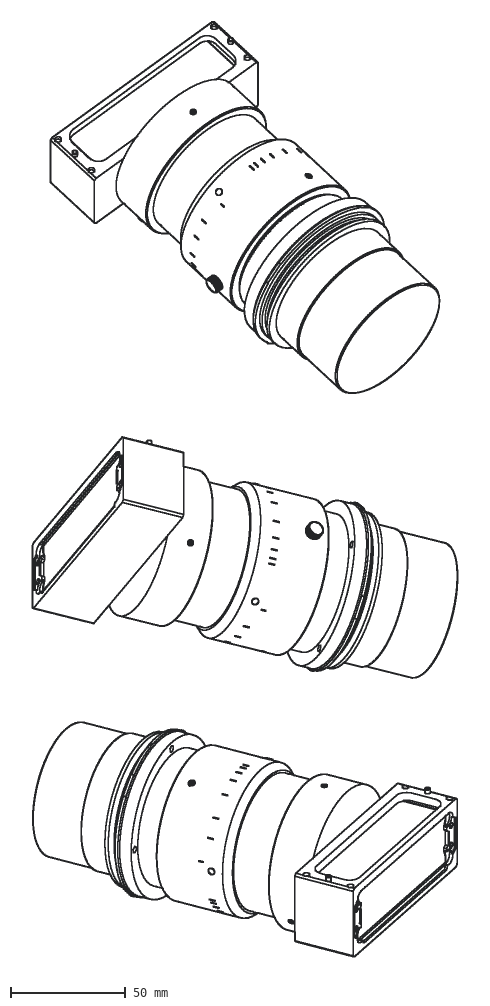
import cadquery as cq


housing_length = 28.9
housing_width = 95.0
housing_height = 34.0
housing_chamfer = 1.0

total_length = 168.1
collar_end = 49.0
focus_ring_start = 68.0
focus_cone_length = 3.4
focus_ring_end = 104.4
neck_end = 105.5
flange_start = 115.5
rim_cone_start = 121.2
rim_start = 121.9
rim_end = 123.2
groove_start = 124.7
groove_cone_start = 126
groove_cone_end = 128.0
groove_ring_end = 129.6
tail_start = 143.7

ring_radius = 70.0 / 2
barrel_radius = 62.0 / 2
tail_radius = 60.5 / 2
focus_nose_radius = 32.1
flange_radius = 37
rim_radius = 75.0 / 2
groove_radius = 33.1
edge_chamfer = 0.5
tail_step_chamfer = 0.3

lug_width = 10.5

screw_rise = 0.3
collar_screw_x = 40.0
collar_screw_diameter = 2.5
collar_socket_diameter = 1.2
collar_socket_depth = 0.8
focus_screw_x = 76.8
focus_screw_diameter = 3.0
thumbscrew_x = 96.2
lock_hole_diameter = 3.0
lock_hole_depth = 0.8
lock_socket_diameter = 1.5
lock_socket_depth = 1.7
thumbscrew_stem_diameter = 2.0
thumbscrew_head_diameter = 7.0
thumbscrew_gap = 0.7
thumbscrew_head_height = 3.5
thumbscrew_dome_height = 0.3
thumbscrew_chamfer = 0.3
knurl_count = 24
knurl_width = 0.3
flange_hole_diameter = 2.9
flange_hole_depth = 1.7
flange_hole_radius = 33.8

mark_angles = [24, 39, 57.6, 71.2, 80.1, 86.6, 90.7]
mark_start = 77.7
scale_edge = 80.4
mark_width = 0.3
mark_depth = 0.2
index_angle = 5.4
index_start = 81.2
index_length = 2.0

side_pocket_center_x = 13.5
side_pocket_length = 21.3
side_pocket_width = 83.0
side_pocket_radius = 5
side_pocket_depth = 3.9
side_panel_width = 80.0
side_panel_step = 0.3
corner_hole_diameter = 2.9
corner_hole_depth = 1.7
corner_hole_x = (2.5, 24.4)
fastener_y = 45.2
pin_diameter = 2.4
pin_height = 2.2
pin_chamfer = 0.3

window_half_width = 40.2
window_half_height = 12.3
window_depth = 2.0
lobe_radius = 3.4
lobe_depth = 1.7
lobe_z = 9.2
ledge_depth = 1.0
ledge_top = 12.8
ledge_bottom = -14.3
ledge_corner_z = -12.5
ledge_corner_half_width = 38.8
ledge_bottom_half_width = 37.7

clip_depth = 0.7
clip_outer_y = 46.0
clip_shoulder_y = 43.7
clip_straight_z = 7.7
clip_shoulder_z = 9.0
clip_tab_y = 39.0
clip_tab_z = 6.2
clip_tab_inner_z = 4.5
clip_waist_y = 40.3
clip_waist_z = 3.4
clip_hole_y = 43.2
clip_hole_z = 4.9
clip_hole_diameter = 2.5
clip_hole_depth = 0.8
clip_socket_diameter = 1.2
clip_socket_depth = 1.7

THIRD_TURN = 120
embed = 1.7


def about_axis(solid, angle):
    """Turn a solid around the X axis; +Y turns towards +Z."""
    return solid.rotate((0, 0, 0), (1, 0, 0), angle)


def radial_cylinder(x, diameter, inner, outer):
    """Cylinder along +Y that spans two distances from the optical axis."""
    return (
        cq.Workplane("XZ", origin=(x, inner, 0))
        .circle(diameter / 2)
        .extrude(-(outer - inner))
    )


def front_sketch(depth):
    """Sketch plane (local Y, Z) at a depth behind the front face, facing +X."""
    return cq.Workplane("YZ", origin=(depth, 0, 0))


def make_barrel():
    profile = [
        (housing_length, 0),
        (housing_length, ring_radius),
        (collar_end - edge_chamfer, ring_radius),
        (collar_end, ring_radius - edge_chamfer),
        (collar_end, barrel_radius),
        (focus_ring_start, barrel_radius),
        (focus_ring_start, focus_nose_radius),
        (focus_ring_start + focus_cone_length, ring_radius),
        (focus_ring_end - edge_chamfer, ring_radius),
        (focus_ring_end, ring_radius - edge_chamfer),
        (focus_ring_end, tail_radius),
        (neck_end, tail_radius),
        (neck_end, barrel_radius),
        (flange_start, barrel_radius),
        (flange_start, flange_radius),
        (rim_cone_start, flange_radius),
        (rim_start, rim_radius),
        (rim_end, rim_radius),
        (rim_end, ring_radius),
        (groove_start, ring_radius),
        (groove_start, groove_radius),
        (groove_cone_start, groove_radius),
        (groove_cone_end, ring_radius),
        (groove_ring_end, ring_radius),
        (groove_ring_end, barrel_radius),
        (tail_start - tail_step_chamfer, barrel_radius),
        (tail_start, barrel_radius - tail_step_chamfer),
        (tail_start, tail_radius),
        (total_length - edge_chamfer, tail_radius),
        (total_length, tail_radius - edge_chamfer),
        (total_length, 0),
    ]
    return cq.Workplane("XY").polyline(profile).close().revolve(360, (0, 0, 0), (1, 0, 0))


def add_rim_lugs(body):
    lug = cq.Workplane("XY").box(
        rim_end - rim_start, rim_radius, lug_width, centered=(False, False, True)
    ).translate((rim_start, 0, 0))
    for angle in (45, 135, 225, 315):
        body = body.union(about_axis(lug, angle))
    return body


def cut_flange_holes(body):
    hole = (
        cq.Workplane("YZ", origin=(flange_start, 0, 0))
        .polarArray(flange_hole_radius, 0, 360, 4)
        .circle(flange_hole_diameter / 2)
        .extrude(flange_hole_depth)
    )
    return body.cut(hole)


def add_ring_screws(body):
    """Three screw heads on the collar and three on the focus ring."""
    head_inner = ring_radius - embed
    head_outer = ring_radius + screw_rise
    collar_screw = radial_cylinder(collar_screw_x, collar_screw_diameter, head_inner, head_outer)
    collar_socket = radial_cylinder(
        collar_screw_x, collar_socket_diameter, head_outer - collar_socket_depth, head_outer
    )
    focus_screw = radial_cylinder(focus_screw_x, focus_screw_diameter, head_inner, head_outer)
    for turn in range(3):
        collar_angle = 90 + turn * THIRD_TURN
        body = body.union(about_axis(collar_screw, collar_angle))
        body = body.cut(about_axis(collar_socket, collar_angle))
        body = body.union(about_axis(focus_screw, turn * THIRD_TURN))
    return body


def cut_scale_marks(body):
    """Focus graduations and index lines, repeated three times around the ring."""
    mark = cq.Workplane("XY").box(
        scale_edge - mark_start, 2 * mark_depth, mark_width, centered=(False, True, True)
    ).translate((mark_start, ring_radius, 0))
    index = cq.Workplane("XY").box(
        index_length, 2 * mark_depth, mark_width, centered=(False, True, True)
    ).translate((index_start, ring_radius, 0))
    for turn in range(3):
        start = turn * THIRD_TURN
        body = body.cut(about_axis(index, start + index_angle))
        for angle in mark_angles:
            body = body.cut(about_axis(mark, start + angle))
    return body


def add_locking_screws(body):
    """Thumbscrew on the -Y side and two locking holes a third of a turn away."""
    hole = radial_cylinder(
        thumbscrew_x, lock_hole_diameter, ring_radius - lock_hole_depth, ring_radius + embed
    )
    socket = radial_cylinder(
        thumbscrew_x, lock_socket_diameter, ring_radius - lock_socket_depth, ring_radius
    )
    hole = hole.union(socket)
    for angle in (180 - THIRD_TURN, 180 + THIRD_TURN):
        body = body.cut(about_axis(hole, angle))

    head_start = ring_radius + thumbscrew_gap
    head_end = head_start + thumbscrew_head_height
    stem_radius = thumbscrew_stem_diameter / 2
    head_radius = thumbscrew_head_diameter / 2
    thumbscrew = (
        cq.Workplane("XY")
        .moveTo(0, ring_radius - embed)
        .lineTo(stem_radius, ring_radius - embed)
        .lineTo(stem_radius, head_start)
        .lineTo(head_radius, head_start)
        .lineTo(head_radius, head_end - thumbscrew_chamfer)
        .lineTo(head_radius - thumbscrew_chamfer, head_end)
        .lineTo(0, head_end + thumbscrew_dome_height)
        .close()
        .revolve(360, (0, 0, 0), (0, 1, 0))
        .translate((thumbscrew_x, 0, 0))
    )
    knurl = (
        cq.Workplane("XZ", origin=(thumbscrew_x, head_start, 0))
        .polarArray(head_radius, 0, 360, knurl_count)
        .rect(2 * knurl_width, knurl_width)
        .extrude(-thumbscrew_head_height)
    )
    return body.union(about_axis(thumbscrew.cut(knurl), 180))


def make_housing():
    return (
        cq.Workplane("XY")
        .box(housing_length, housing_width, housing_height, centered=(False, True, True))
        .edges("|X")
        .chamfer(housing_chamfer)
    )


def cut_side_pocket(housing):
    top = cq.Workplane("XY", origin=(side_pocket_center_x, 0, housing_height / 2))
    pocket = (
        top.rect(side_pocket_length, side_pocket_width)
        .extrude(-side_pocket_depth)
        .edges("|Z")
        .fillet(side_pocket_radius)
    )
    panel_depth = side_pocket_depth + side_panel_step
    panel_trim = top.rect(side_pocket_length, side_panel_width).extrude(-panel_depth)
    panel = (
        top.rect(side_pocket_length, side_pocket_width)
        .extrude(-panel_depth)
        .edges("|Z")
        .fillet(side_pocket_radius)
        .intersect(panel_trim)
    )
    return housing.cut(pocket).cut(panel)


def add_top_fasteners(housing):
    top = cq.Workplane("XY", origin=(0, 0, housing_height / 2))
    hole_points = [(x, y) for x in corner_hole_x for y in (-fastener_y, fastener_y)]
    holes = top.pushPoints(hole_points).circle(corner_hole_diameter / 2).extrude(-corner_hole_depth)
    pins = (
        cq.Workplane("XY", origin=(0, 0, housing_height / 2 - embed))
        .pushPoints([(side_pocket_center_x, -fastener_y), (side_pocket_center_x, fastener_y)])
        .circle(pin_diameter / 2)
        .extrude(pin_height + embed)
        .faces(">Z")
        .chamfer(pin_chamfer)
    )
    return housing.cut(holes).union(pins)


def make_clip_outline(depth):
    """Outline of the +Y clip, extruded inwards from the front face."""
    upper = [
        (clip_waist_y, clip_waist_z),
        (clip_tab_y, clip_tab_inner_z),
        (clip_tab_y, clip_tab_z),
        (window_half_width, clip_shoulder_z),
        (clip_shoulder_y, clip_shoulder_z),
        (clip_outer_y, clip_straight_z),
    ]
    lower = [(y, -z) for y, z in reversed(upper)]
    return front_sketch(0).polyline(upper + lower).close().extrude(depth)


def cut_window(housing):
    window = front_sketch(0).rect(2 * window_half_width, 2 * window_half_height).extrude(window_depth)
    lobe_points = [(y, z) for y in (-window_half_width, window_half_width) for z in (-lobe_z, lobe_z)]
    lobes = front_sketch(0).pushPoints(lobe_points).circle(lobe_radius).extrude(lobe_depth)
    ledge = (
        front_sketch(0)
        .moveTo(-window_half_width, ledge_top)
        .lineTo(window_half_width, ledge_top)
        .lineTo(window_half_width, ledge_corner_z)
        .lineTo(ledge_corner_half_width, ledge_corner_z)
        .lineTo(ledge_bottom_half_width, ledge_bottom)
        .lineTo(-ledge_bottom_half_width, ledge_bottom)
        .lineTo(-ledge_corner_half_width, ledge_corner_z)
        .lineTo(-window_half_width, ledge_corner_z)
        .close()
        .extrude(ledge_depth)
    )
    housing = housing.cut(window).cut(lobes).cut(ledge)

    clip_seat = make_clip_outline(clip_depth)
    clip = make_clip_outline(window_depth).cut(clip_seat).cut(lobes)
    clip_points = front_sketch(clip_depth).pushPoints(
        [(clip_hole_y, -clip_hole_z), (clip_hole_y, clip_hole_z)]
    )
    clip_holes = clip_points.circle(clip_hole_diameter / 2).extrude(clip_hole_depth)
    clip_sockets = clip_points.circle(clip_socket_diameter / 2).extrude(clip_socket_depth)
    clip_holes = clip_holes.union(clip_sockets)
    for turn in (0, 180):
        housing = housing.cut(about_axis(clip_seat, turn))
        housing = housing.union(about_axis(clip, turn))
        housing = housing.cut(about_axis(clip_holes, turn))
    return housing


barrel = make_barrel()
barrel = add_rim_lugs(barrel)
barrel = cut_flange_holes(barrel)
barrel = cut_scale_marks(barrel)
barrel = add_ring_screws(barrel)
barrel = add_locking_screws(barrel)

housing = make_housing()
housing = cut_side_pocket(housing)
housing = add_top_fasteners(housing)
housing = cut_window(housing)

result = housing.union(barrel)